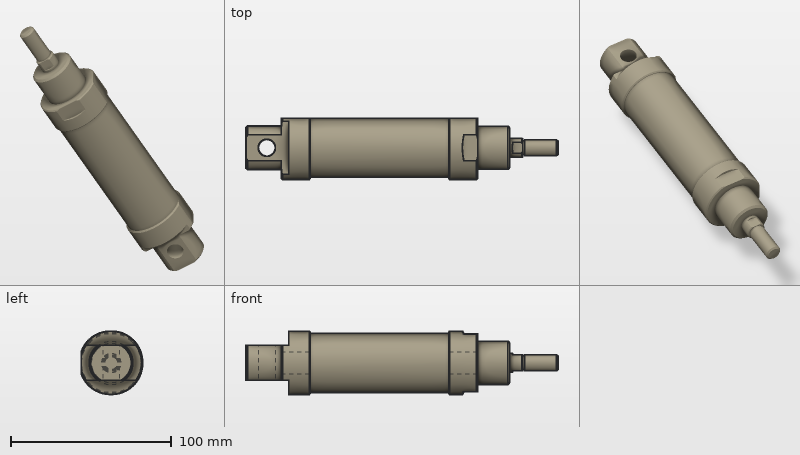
import cadquery as cq
import math


lug_length = 22.0
cap_length = 18.0
tube_length = 86.0
nose_length = 20.0
rod_shank_length = 8.0
rod_relief_length = 1.2
rod_thread_length = 20.8

tube_diameter = 37.0
cap_diameter = 39.5
cap_chamfer = 0.75
cap_side_flat = tube_diameter / 2

lug_diameter = 27.2
lug_thickness = 22.0
lug_chamfer = 1.0
lug_flat_run_in = 4.5
eye_diameter = 10.4
eye_position = 13.0

nose_diameter = 27.0
nose_chamfer = 1.25
wrench_flat_width = 36.0
wrench_flat_length = 9.5
wrench_cutter_radius = 35.0

rod_diameter = 12.0
rod_flat_width = 10.0
rod_collar_length = 1.5
rod_cutter_radius = 12.0
rod_shank_chamfer = 0.5
relief_diameter = 8.8
thread_diameter = 10.0
thread_chamfer = 1.0

rear_cap_start = lug_length
tube_start = rear_cap_start + cap_length
front_cap_start = tube_start + tube_length
nose_start = front_cap_start + cap_length
rod_start = nose_start + nose_length
relief_start = rod_start + rod_shank_length
thread_start = relief_start + rod_relief_length


def cylinder(start, length, diameter):
    """Round bar along X, starting at the given station."""
    return cq.Workplane("YZ", origin=(start, 0, 0)).circle(diameter / 2).extrude(length)


def flat_cutters(start, length, across_flats, diameter):
    """Two blocks that leave parallel faces, facing +Z and -Z, on a round bar."""
    block = (
        cq.Workplane("XY")
        .box(length, diameter, diameter, centered=(False, True, False))
        .translate((start, 0, across_flats / 2))
    )
    return block.union(block.mirror("XY"))


def curved_end_cutters(start, end, across_flats, diameter, cutter_radius):
    """Flat cutters whose inner end bulges towards -X as an arc of the cutter radius."""
    half_width = diameter / 2
    corner = start + cutter_radius - math.sqrt(cutter_radius**2 - half_width**2)
    cutter = (
        cq.Workplane("XY", origin=(0, 0, across_flats / 2))
        .moveTo(end, -half_width)
        .lineTo(corner, -half_width)
        .threePointArc((start, 0), (corner, half_width))
        .lineTo(end, half_width)
        .close()
        .extrude(diameter - across_flats)
    )
    return cutter.union(cutter.mirror("XY"))


def cap_body(start):
    """Chamfered cap cylinder with a single flat on its +Y side."""
    body = cylinder(start, cap_length, cap_diameter).edges().chamfer(cap_chamfer)
    side_cut = cq.Workplane("XY").box(
        cap_length, cap_diameter, cap_diameter, centered=(False, False, True)
    )
    return body.cut(side_cut.translate((start, cap_side_flat, 0)))


def make_rear_cap():
    lug = cylinder(0, lug_length, lug_diameter).faces("<X").chamfer(lug_chamfer)
    flats = flat_cutters(0, lug_length + lug_flat_run_in, lug_thickness, cap_diameter)
    eye = (
        cq.Workplane("XY", origin=(eye_position, 0, 0))
        .circle(eye_diameter / 2)
        .extrude(lug_thickness, both=True)
    )
    return cap_body(rear_cap_start).union(lug).cut(flats).cut(eye)


def make_tube():
    return cylinder(tube_start, tube_length, tube_diameter)


def make_front_cap():
    flats = curved_end_cutters(
        nose_start - wrench_flat_length, nose_start, wrench_flat_width, cap_diameter, wrench_cutter_radius
    )
    nose = cylinder(nose_start, nose_length, nose_diameter).faces(">X").chamfer(nose_chamfer)
    return cap_body(front_cap_start).cut(flats).union(nose)


def make_rod():
    shank = cylinder(rod_start, rod_shank_length, rod_diameter).faces(">X").chamfer(rod_shank_chamfer)
    flats = curved_end_cutters(
        rod_start + rod_collar_length, relief_start, rod_flat_width, rod_diameter, rod_cutter_radius
    )
    relief = cylinder(relief_start, rod_relief_length, relief_diameter)
    thread = cylinder(thread_start, rod_thread_length, thread_diameter).faces(">X").chamfer(thread_chamfer)
    return shank.cut(flats).union(relief).union(thread)


rear_cap = make_rear_cap()
tube = make_tube()
front_cap = make_front_cap()
rod = make_rod()

result = cq.Compound.makeCompound([rear_cap.val(), tube.val(), front_cap.val(), rod.val()])